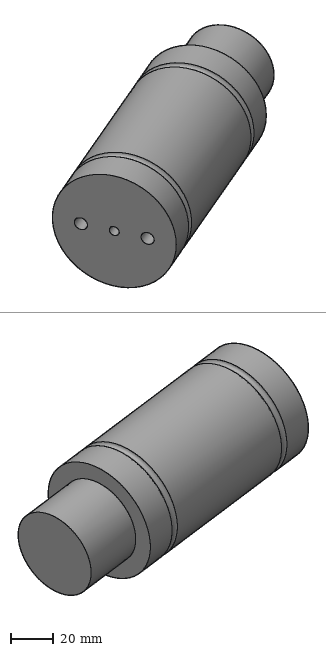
import cadquery as cq
import math

total_length = 150.0
body_diameter = 63.0
body_length = 117.0
rod_diameter = 45.0

groove_radius = 2.0
groove_end_distance = 18.0

center_hole_diameter = 5.0
side_hole_diameter = 6.6
side_hole_offset = 17.0
hole_depth = 12.0
drill_tip_angle = 118.0

body_radius = body_diameter / 2
rod_radius = rod_diameter / 2
base_y = -total_length / 2
shoulder_y = base_y + body_length
rod_end_y = base_y + total_length


def turned_body():
    """Revolve the grooved half profile around the Y axis."""
    groove_bottom = body_radius - groove_radius
    profile = cq.Workplane("XY").moveTo(0, base_y).lineTo(body_radius, base_y)
    for groove_y in (base_y + groove_end_distance, shoulder_y - groove_end_distance):
        profile = profile.lineTo(body_radius, groove_y - groove_radius)
        profile = profile.threePointArc((groove_bottom, groove_y), (body_radius, groove_y + groove_radius))
    profile = (
        profile.lineTo(body_radius, shoulder_y)
        .lineTo(rod_radius, shoulder_y)
        .lineTo(rod_radius, rod_end_y)
        .lineTo(0, rod_end_y)
        .close()
    )
    return profile.revolve(360, (0, 0, 0), (0, 1, 0))


def drilled_hole(x, diameter):
    """Blind hole running inward from the base, with a conical drill tip."""
    radius = diameter / 2
    tip_length = radius / math.tan(math.radians(drill_tip_angle / 2))
    half_section = (
        cq.Workplane("XY")
        .moveTo(0, base_y)
        .lineTo(radius, base_y)
        .lineTo(radius, base_y + hole_depth)
        .lineTo(0, base_y + hole_depth + tip_length)
        .close()
    )
    return half_section.revolve(360, (0, 0, 0), (0, 1, 0)).translate((x, 0, 0))


result = turned_body().cut(drilled_hole(0, center_hole_diameter))
for side in (-1, 1):
    result = result.cut(drilled_hole(side * side_hole_offset, side_hole_diameter))